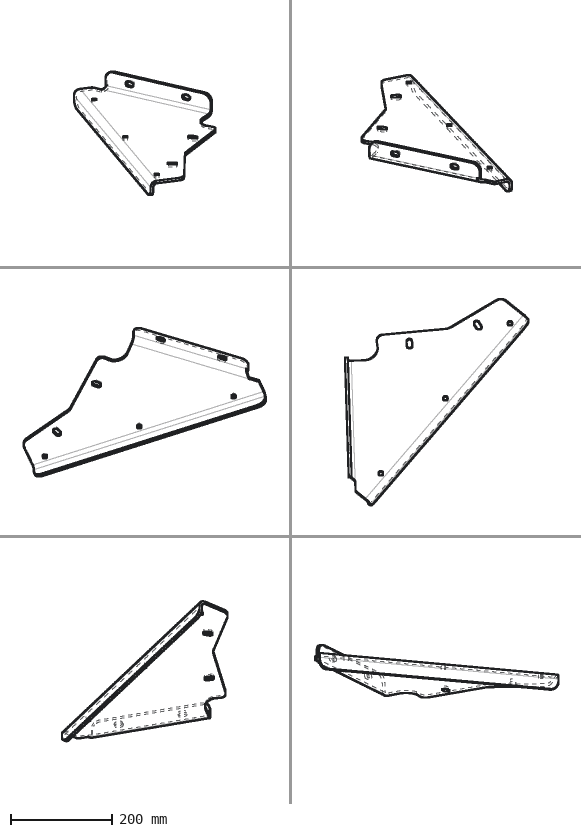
import cadquery as cq
import math

LENGTH = 489.8
WIDTH = 224.5
HEIGHT = 73.0
SHEET = 6.0
BEND_INNER = 7.0
BEND_OUTER = BEND_INNER + SHEET
PLATE_TOP = 35.0
PLATE_BOTTOM = PLATE_TOP - SHEET
CORNER_RADIUS = 16.5

SLANT_ANGLE = 41.4
SLANT_COS = math.cos(math.radians(SLANT_ANGLE))
SLANT_SIN = math.sin(math.radians(SLANT_ANGLE))
FLANGE_TIP_X = 192.0
FLANGE_LENGTH = 241.0
FLANGE_START = (FLANGE_TIP_X - FLANGE_LENGTH * SLANT_COS, WIDTH - FLANGE_LENGTH * SLANT_SIN)
BEND_END_X = 15.5
BEND_EXTENSION = 14.5

NOTCH_START_DISTANCE = 34.5
NOTCH_BOTTOM = (238.0, 186.5)
NOTCH_END = (252.5, 190.5)
PEAK = (271.5, 210.5)
PEAK_RADIUS = 12.0
VALLEY = (373.0, 109.0)
VALLEY_RADIUS = 19.5
RIGHT_EDGE_TOP = 69.5

HOLE_DIAMETER = 9.0
HOLE_PITCH = 200.0
FIRST_HOLE = (59.7, 22.5)
SLOT_LENGTH = 19.0
SLOT_WIDTH = 11.0
PLATE_SLOTS = [((300.5, 149.0), 45.0), ((416.0, 69.0), 71.5)]
FLANGE_SLOT_HEIGHT = 56.0
FLANGE_SLOT_LENGTH = 17.0
FLANGE_SLOT_START = 55.0
FLANGE_SLOT_PITCH = 130.0


def slant_point(u, v):
    """Plan point at distance u along the slanted flange and v outward from its outer face."""
    return (
        FLANGE_START[0] + u * SLANT_COS - v * SLANT_SIN,
        FLANGE_START[1] + u * SLANT_SIN + v * SLANT_COS,
    )


def slant_plane(u):
    """Section plane across the slanted flange: local x outward, local y up."""
    x, y = slant_point(u, 0)
    return cq.Plane(origin=(x, y, 0), xDir=(-SLANT_SIN, SLANT_COS, 0), normal=(SLANT_COS, SLANT_SIN, 0))


def bend_profile(workplane, outer, center, direction):
    """Quarter-ring bend; outer is the local x of the outer face and direction is its sign."""
    middle = math.sqrt(0.5)
    side_x, side_y = direction
    flat_x = outer - side_x * BEND_OUTER

    def arc_point(radius):
        return (flat_x + side_x * radius * middle, center + side_y * radius * middle)

    return (
        workplane.moveTo(flat_x, center + side_y * BEND_OUTER)
        .threePointArc(arc_point(BEND_OUTER), (outer, center))
        .lineTo(outer - side_x * SHEET, center)
        .threePointArc(arc_point(BEND_INNER), (flat_x, center + side_y * BEND_INNER))
        .close()
    )


def make_plate():
    bend_end = slant_point(FLANGE_LENGTH, -BEND_OUTER)
    bend_line_start = slant_point(0, -BEND_OUTER)
    left_edge_top = bend_line_start[1] - bend_line_start[0] * SLANT_SIN / SLANT_COS
    plate = (
        cq.Workplane("XY", origin=(0, 0, PLATE_BOTTOM))
        .moveTo(0, BEND_OUTER)
        .lineTo(0, left_edge_top)
        .lineTo(*bend_end)
        .lineTo(*slant_point(FLANGE_LENGTH, -NOTCH_START_DISTANCE))
        .threePointArc(NOTCH_BOTTOM, NOTCH_END)
        .lineTo(*PEAK)
        .lineTo(*VALLEY)
        .lineTo(LENGTH, RIGHT_EDGE_TOP)
        .lineTo(LENGTH, BEND_OUTER)
        .close()
        .extrude(SHEET)
    )
    corners = [
        (PEAK, PEAK_RADIUS),
        (VALLEY, VALLEY_RADIUS),
        ((LENGTH, RIGHT_EDGE_TOP), CORNER_RADIUS),
    ]
    for (x, y), radius in corners:
        corner_edge = cq.selectors.NearestToPointSelector((x, y, PLATE_BOTTOM + SHEET / 2))
        plate = plate.edges("|Z").edges(corner_edge).fillet(radius)
    return plate


def make_lower_flange():
    bend_center = PLATE_TOP - BEND_OUTER
    bend = bend_profile(cq.Workplane("YZ"), 0, bend_center, (-1, 1)).extrude(LENGTH)
    wall = (
        cq.Workplane("XY")
        .box(LENGTH, SHEET, bend_center, centered=False)
        .edges("|Y and <Z")
        .fillet(CORNER_RADIUS)
    )
    return bend.union(wall)


def make_upper_flange():
    bend_center = PLATE_BOTTOM + BEND_OUTER
    bend_length = FLANGE_LENGTH + BEND_EXTENSION
    section = cq.Workplane(slant_plane(-BEND_EXTENSION))
    bend = bend_profile(section, 0, bend_center, (1, -1)).extrude(bend_length)
    bend_limit = cq.Workplane("XY", origin=(BEND_END_X, 0, 0)).box(LENGTH, LENGTH, HEIGHT, centered=False)
    bend = bend.intersect(bend_limit)
    wall = (
        cq.Workplane("XY")
        .box(FLANGE_LENGTH, SHEET, HEIGHT - bend_center, centered=False)
        .edges("|Y and >Z")
        .fillet(CORNER_RADIUS)
        .translate((0, -SHEET, bend_center))
        .rotate((0, 0, 0), (0, 0, 1), SLANT_ANGLE)
        .translate((*FLANGE_START, 0))
    )
    return bend.union(wall)


def make_holes():
    first_x, hole_y = FIRST_HOLE
    cutters = (
        cq.Workplane("XY")
        .pushPoints([(first_x + i * HOLE_PITCH, hole_y) for i in range(3)])
        .circle(HOLE_DIAMETER / 2)
        .extrude(HEIGHT)
    )
    for center, angle in PLATE_SLOTS:
        slot = cq.Workplane("XY").center(*center).slot2D(SLOT_LENGTH, SLOT_WIDTH, angle).extrude(HEIGHT)
        cutters = cutters.union(slot)
    face = cq.Plane(
        origin=(*FLANGE_START, 0), xDir=(SLANT_COS, SLANT_SIN, 0), normal=(SLANT_SIN, -SLANT_COS, 0)
    )
    for i in range(2):
        slot = (
            cq.Workplane(face)
            .center(FLANGE_SLOT_START + i * FLANGE_SLOT_PITCH, FLANGE_SLOT_HEIGHT)
            .slot2D(FLANGE_SLOT_LENGTH, SLOT_WIDTH)
            .extrude(SHEET)
        )
        cutters = cutters.union(slot)
    return cutters


result = make_plate().union(make_lower_flange()).union(make_upper_flange()).cut(make_holes())